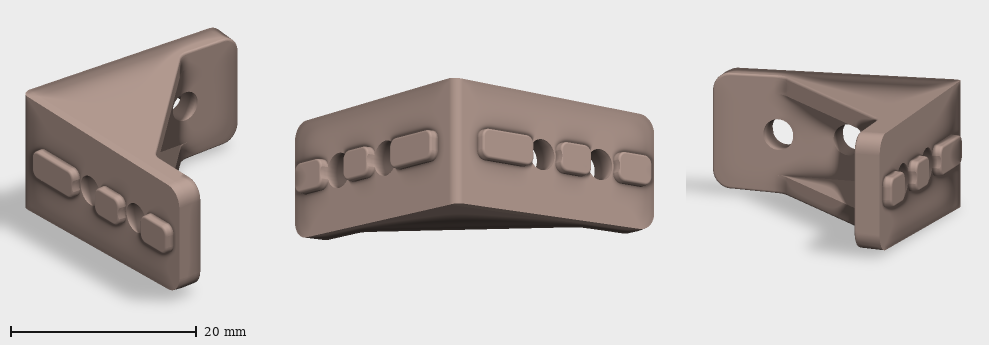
import cadquery as cq
import math


def slope(angle):
    """Rise per unit length at an angle in degrees."""
    return math.tan(math.radians(angle))


LEG_LENGTH = 27.5
WALL = 3.0
CORNER_RADIUS = 1.0
FULL_WIDTH = 13.95
WIDTH_TAPER = 1.25
DRAFT = 4.5
PARTING_Y = 1.0
END_RADIUS = 2.0
RIM_RADIUS = 0.25

GUSSET_REACH = 19.5
BEND_RADIUS = 2.0
GUSSET_THICKNESS = 2.5

HOLE_POSITIONS = (12.0, 20.0)
HOLE_RADIUS = 1.7
HOLE_MOUTH_RADIUS = HOLE_RADIUS + WALL * slope(DRAFT)

KEY_HEIGHT = 1.0
KEY_WIDTH = 3.4
KEY_START = 3.0
KEY_END = 26.5
KEY_HOLE_GAP = 1.82
KEY_CORNER_RADIUS = 1.0
KEY_DRAFT = 4.5
KEY_EDGE_RADIUS = 0.25

END_SETBACK = WALL * slope(DRAFT)
TOLERANCE = 1e-3


def bracket_outline():
    """Outline in the XY plane, extruded over the full width."""
    points = [
        (0, 0),
        (LEG_LENGTH, 0),
        (LEG_LENGTH, WALL),
        (GUSSET_REACH, WALL),
        (WALL, GUSSET_REACH),
        (WALL, LEG_LENGTH - END_SETBACK),
        (0, LEG_LENGTH),
    ]
    prism = cq.Workplane("XY").polyline(points).close().extrude(FULL_WIDTH / 2, both=True)
    prism = prism.edges(cq.NearestToPointSelector((0, 0, 0))).fillet(CORNER_RADIUS)
    for bend in ((GUSSET_REACH, WALL, 0), (WALL, GUSSET_REACH, 0)):
        prism = prism.edges(cq.NearestToPointSelector(bend)).fillet(BEND_RADIUS)
    return prism


def width_section(x):
    """YZ section of the width envelope at the given X, widest on the parting line."""
    widest = FULL_WIDTH / 2 - x * slope(WIDTH_TAPER)
    front = widest - PARTING_Y * slope(DRAFT)
    back = widest - (LEG_LENGTH - PARTING_Y) * slope(WIDTH_TAPER)
    upper = [(0, front), (PARTING_Y, widest), (LEG_LENGTH, back)]
    lower = [(y, -z) for y, z in reversed(upper)]
    return cq.Wire.makePolygon([cq.Vector(x, y, z) for y, z in upper + lower], close=True)


def width_envelope():
    sections = [width_section(0), width_section(LEG_LENGTH)]
    return cq.Workplane(cq.Solid.makeLoft(sections, True))


def is_end_corner(edge):
    """Upper or lower edge of either flange's free end."""
    box = edge.BoundingBox()
    at_x_end = box.xmin > LEG_LENGTH - TOLERANCE
    at_y_end = box.ymin > LEG_LENGTH - END_SETBACK - TOLERANCE
    return (at_x_end or at_y_end) and box.zmax - box.zmin < END_SETBACK


def is_inner_rim(edge):
    """Edge around the inward-facing sides, without the lines across their bends."""
    points = [edge.positionAt(t) for t in (0, 0.5, 1)]
    inside = all(p.x > WALL - TOLERANCE and p.y > WALL - TOLERANCE for p in points)
    middle = points[1]
    crosses_middle = abs(middle.z) < TOLERANCE
    at_end = max(middle.x, middle.y) > LEG_LENGTH - END_SETBACK - TOLERANCE
    return inside and (at_end or not crosses_middle)


def fillet_where(body, test, radius):
    edges = [edge for edge in body.edges().vals() if test(edge)]
    return body.newObject(edges).fillet(radius)


def cavity():
    """Space between the gusset plates, open on the slanted side."""
    height = FULL_WIDTH - 2 * GUSSET_THICKNESS
    points = [(WALL, WALL), (LEG_LENGTH, WALL), (WALL, LEG_LENGTH)]
    return cq.Workplane("XY").polyline(points).close().extrude(height / 2, both=True)


def tapered_holes(plane, bottom, top):
    """Drafted screw holes between two heights along the plane's normal, widening outward."""
    cones = cq.Workplane(plane)
    for position in HOLE_POSITIONS:
        base = plane.toWorldCoords((position, 0, bottom))
        radii = [HOLE_MOUTH_RADIUS + height * slope(DRAFT) for height in (bottom, top)]
        cones = cones.add(cq.Solid.makeCone(*radii, top - bottom, base, plane.zDir))
    return cones.combine()


def straight_holes(plane):
    """Parallel screw holes through the flange wall."""
    spots = [(position, 0) for position in HOLE_POSITIONS]
    return cq.Workplane(plane).pushPoints(spots).circle(HOLE_RADIUS).extrude(-WALL)


def keys(plane):
    """Row of three keys on the given plane, whose local X runs along the flange."""
    first, second = HOLE_POSITIONS
    spans = [
        (KEY_START, first - KEY_HOLE_GAP),
        (first + KEY_HOLE_GAP, second - KEY_HOLE_GAP),
        (second + KEY_HOLE_GAP, KEY_END),
    ]
    tip = cq.DirectionMinMaxSelector(plane.zDir, True)
    row = cq.Workplane(plane)
    for start, end in spans:
        sketch = cq.Sketch().rect(end - start, KEY_WIDTH).vertices().fillet(KEY_CORNER_RADIUS)
        key = (
            cq.Workplane(plane)
            .center((start + end) / 2, 0)
            .placeSketch(sketch)
            .extrude(KEY_HEIGHT, taper=KEY_DRAFT)
        )
        row = row.add(key.faces(tip).edges().fillet(KEY_EDGE_RADIUS))
    return row.combine()


front_face = cq.Plane(origin=(0, 0, 0), xDir=(1, 0, 0), normal=(0, -1, 0))
side_face = cq.Plane(origin=(0, 0, 0), xDir=(0, 1, 0), normal=(-1, 0, 0))

result = bracket_outline().intersect(width_envelope())
result = fillet_where(result, is_end_corner, END_RADIUS)
result = fillet_where(result, is_inner_rim, RIM_RADIUS)
result = result.cut(cavity())
result = result.union(keys(front_face)).union(keys(side_face))

result = result.cut(straight_holes(front_face)).cut(tapered_holes(front_face, 0, KEY_HEIGHT))
result = result.cut(tapered_holes(side_face, -WALL, KEY_HEIGHT))